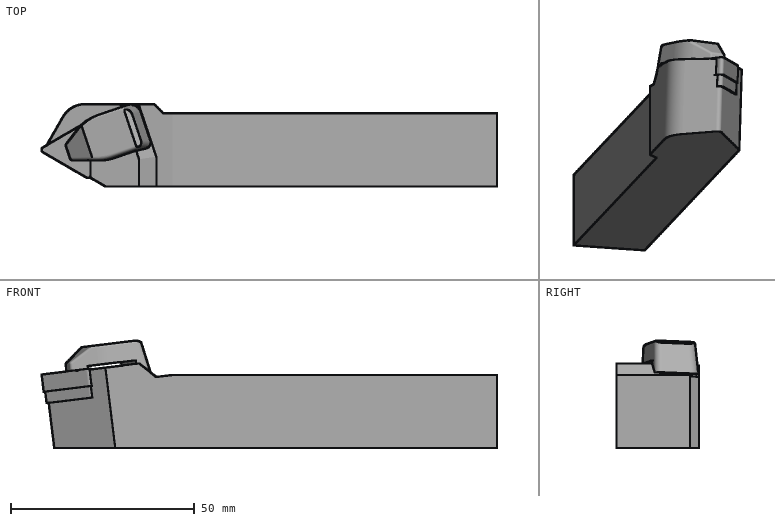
import cadquery as cq
import math

overall_length = 125.0
shank_size = 20.0
head_offset = 2.5
tilt = 7.0

insert_circle = 9.525
insert_thickness = 4.76
insert_corner_radius = 0.8
shim_thickness = 3.18
shim_inset = 0.2

head_top_drop = 0.25
flank_inset = 0.5
front_wall_u = 1.45
front_wall_angle = 60.0
head_tip_radius = 1.2
head_shoulder_radius = 7.0
head_rear_x = 31.5
ramp_foot = 31.8
floor_drop = 4.46

clamp_angle = 18.7
clamp_height = 6.07
clamp_side_draft = 3.0
clamp_back_draft = 10.0
clamp_nose_a = 7.5
clamp_back_a = 29.0
clamp_low_b = -8.85
clamp_high_b = 3.77
nose_low_b = -5.6
nose_high_b = -1.1
low_shoulder_a = 16.8
high_shoulder_a = 15.2
shoulder_radius = 12.0
nose_corner_radius = 0.8
low_back_corner_radius = 1.7
high_back_corner_radius = 3.0
clamp_rim_radius = 0.8
clamp_back_bevel_length = 1.5
clamp_back_bevel_drop = 0.75
nose_face_height = 2.1
nose_slope_end_a = 14.0
foot_end_a = 12.0
clamp_clearance = 0.7
heel_depth = 3.0
clamp_ramp_foot = 29.5

half_shank = shank_size / 2
head_side_y = half_shank + head_offset
half_corner_angle = math.radians(30)
insert_height = 1.5 * insert_circle
ramp_height = floor_drop - head_top_drop
ample = 60.0

tip_plane = cq.Plane(
    origin=(0, 0, shank_size),
    xDir=(math.cos(math.radians(tilt)), 0, math.sin(math.radians(tilt))),
    normal=(-math.sin(math.radians(tilt)), 0, math.cos(math.radians(tilt))),
)
clamp_plane = tip_plane.rotated((0, 0, clamp_angle))


def triangle_plate(top, thickness, flank_setback):
    """Triangular plate with rounded corners, its top at the given depth."""
    tip_u = flank_setback / math.sin(half_corner_angle)
    half_side = (insert_height - tip_u) * math.tan(half_corner_angle)
    return (
        cq.Workplane(tip_plane)
        .workplane(offset=-top - thickness)
        .polyline([(tip_u, 0), (insert_height, -half_side), (insert_height, half_side)])
        .close()
        .extrude(thickness)
        .edges(cq.selectors.ParallelDirSelector(tip_plane.zDir))
        .fillet(insert_corner_radius)
    )


def make_head():
    """Tilted prism of the head, from below the base to the head top."""
    flank_slope = math.tan(half_corner_angle)
    wall_slope = math.tan(math.radians(front_wall_angle))
    flank_u = flank_inset / math.sin(half_corner_angle)
    tip_u = (wall_slope * front_wall_u + flank_slope * flank_u) / (wall_slope + flank_slope)
    tip = (tip_u, wall_slope * (tip_u - front_wall_u))
    flank_end = (flank_u + half_shank / flank_slope, -half_shank)
    shoulder = (front_wall_u + head_side_y / wall_slope, head_side_y)
    prism = (
        cq.Workplane(tip_plane)
        .workplane(offset=-head_top_drop)
        .polyline([tip, flank_end, (ample, -half_shank), (ample, head_side_y), shoulder])
        .close()
        .extrude(-ample)
    )
    along_axis = cq.selectors.ParallelDirSelector(tip_plane.zDir)
    prism = prism.edges(along_axis).edges("<X").fillet(head_tip_radius)
    shoulder_point = tip_plane.toWorldCoords((*shoulder, -ample / 2))
    near_shoulder = cq.selectors.NearestToPointSelector(shoulder_point.toTuple())
    return prism.edges(along_axis).edges(near_shoulder).fillet(head_shoulder_radius)


def make_envelope():
    """Plan outline of the head and shank, standing on the base."""
    return (
        cq.Workplane("XY")
        .polyline([
            (0, -half_shank),
            (overall_length, -half_shank),
            (overall_length, half_shank),
            (head_rear_x + head_offset, half_shank),
            (head_rear_x, head_side_y),
            (0, head_side_y),
        ])
        .close()
        .extrude(ample)
    )


def ramp_cut(plane, foot):
    """Space above a 45 degree ramp and the relief floor behind it."""
    rise = ample / 2
    section = cq.Plane(plane.origin, plane.xDir, -plane.yDir)
    return (
        cq.Workplane(section)
        .polyline([
            (foot, -floor_drop),
            (foot + ample, -floor_drop),
            (foot + ample, rise),
            (foot - floor_drop - rise, rise),
        ])
        .close()
        .extrude(ample, both=True)
    )


def clamp_slice(points):
    """Full-width prism across the clamp from points of (length a, height n)."""
    section = cq.Plane(clamp_plane.origin, clamp_plane.xDir, -clamp_plane.yDir)
    return cq.Workplane(section).polyline(points).close().extrude(ample, both=True)


def nearest_in_clamp(a, n):
    """Picks what lies nearest to a point midway across the nose, at length a and height n."""
    nose_middle_b = (nose_low_b + nose_high_b) / 2
    return cq.selectors.NearestToPointSelector(clamp_plane.toWorldCoords((a, nose_middle_b, n)).toTuple())


def make_clamp():
    """Drafted clamp with a sloped nose, a foot on the insert and a heel on the ramp."""
    outline = [
        (clamp_nose_a, nose_low_b),
        (low_shoulder_a, clamp_low_b),
        (ample, clamp_low_b),
        (ample, clamp_high_b),
        (high_shoulder_a, clamp_high_b),
        (clamp_nose_a, nose_high_b),
    ]
    block = (
        cq.Workplane(clamp_plane)
        .workplane(offset=-heel_depth)
        .polyline(outline)
        .close()
        .offset2D(heel_depth * math.tan(math.radians(clamp_side_draft)), "intersection")
        .extrude(clamp_height + heel_depth, taper=clamp_side_draft)
    )

    back_slope = math.tan(math.radians(clamp_back_draft))
    block = block.cut(clamp_slice([
        (clamp_back_a + ample * back_slope, -ample),
        (clamp_back_a - ample * back_slope, ample),
        (2 * ample, ample),
        (2 * ample, -ample),
    ]))

    rounded_edges = [
        (clamp_nose_a, nose_low_b, nose_corner_radius),
        (low_shoulder_a, clamp_low_b, shoulder_radius),
        (clamp_back_a, clamp_low_b, low_back_corner_radius),
        (clamp_back_a, clamp_high_b, high_back_corner_radius),
        (high_shoulder_a, clamp_high_b, shoulder_radius),
        (clamp_nose_a, nose_high_b, nose_corner_radius),
    ]
    for a, b, radius in rounded_edges:
        corner = clamp_plane.toWorldCoords((a, b, 0)).toTuple()
        block = block.edges(cq.selectors.NearestToPointSelector(corner)).fillet(radius)

    nose_slope = (clamp_height - nose_face_height) / (nose_slope_end_a - clamp_nose_a)
    block = block.cut(clamp_slice([
        (nose_slope_end_a, clamp_height),
        (nose_slope_end_a - ample, clamp_height - ample * nose_slope),
        (nose_slope_end_a - ample, clamp_height),
    ]))

    slope_middle_a = (clamp_nose_a + nose_slope_end_a) / 2
    slope_middle_n = (clamp_height + nose_face_height) / 2
    top_face = block.faces(cq.selectors.DirectionMinMaxSelector(clamp_plane.zDir)).val()
    slope_face = block.faces(nearest_in_clamp(slope_middle_a, slope_middle_n)).val()
    ridge = cq.Workplane(slope_face).edges(nearest_in_clamp(nose_slope_end_a, clamp_height)).val()
    rim = [edge for edge in top_face.Edges() + slope_face.Edges() if not edge.isSame(ridge)]
    block = block.newObject(rim).fillet(clamp_rim_radius)

    bevel_slope = clamp_back_bevel_drop / clamp_back_bevel_length
    bevel_start_a = clamp_back_a - clamp_height * back_slope - clamp_back_bevel_length
    block = block.cut(clamp_slice([
        (bevel_start_a, clamp_height),
        (bevel_start_a + ample, clamp_height - ample * bevel_slope),
        (bevel_start_a + ample, clamp_height),
    ]))

    heel_a = clamp_ramp_foot - ramp_height
    return block.cut(clamp_slice([
        (0, -ample),
        (heel_a, -ample),
        (heel_a, clamp_clearance),
        (foot_end_a, clamp_clearance),
        (foot_end_a, 0),
        (0, 0),
    ]))


insert = triangle_plate(0, insert_thickness, 0)

shim = triangle_plate(insert_thickness, shim_thickness, shim_inset)
floor_end_x = floor_drop / math.sin(math.radians(tilt))
head_zone = cq.Workplane("XY").box(floor_end_x, ample, ample, centered=(False, True, False))
shank = (
    cq.Workplane("XY", origin=(floor_end_x, 0, 0))
    .box(overall_length - floor_end_x, shank_size, shank_size, centered=(False, True, False))
)
head = (
    make_envelope()
    .intersect(make_head())
    .intersect(head_zone)
    .cut(ramp_cut(tip_plane, ramp_foot))
    .cut(ramp_cut(clamp_plane, clamp_ramp_foot))
)
holder = head.union(shank).cut(insert).union(shim).union(make_clamp())

result = cq.Compound.makeCompound([holder.val(), insert.val()])